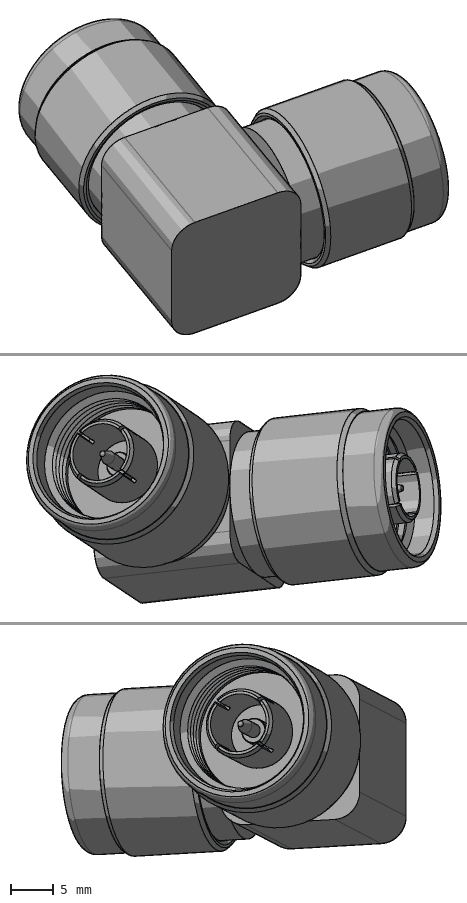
import cadquery as cq
import math

ARM_ANGLES = (0, 90)

nut_dia = 20.0
nut_length = 17.0
overall_length = 38.6
front_collar_dia = 19.1
front_collar_length = 4.98
nose_dia = 18.03
nose_length = 1.0
edge_bevel_height = 0.4
front_bevel_length = 0.58
rear_bevel_length = 0.5

mouth_dia = 16.83
mouth_bevel_length = 0.55
entry_bore_dia = 16.3
thread_start_depth = 2.97
lead_in_length = 0.6
thread_root_dia = 16.0
thread_crest_dia = 14.8
thread_pitch = 1.05
thread_crests = 5
cavity_depth = 8.38
neck_bore_dia = 17.6
neck_bore_mouth_dia = 18.53
neck_bore_bevel_length = 0.3

neck_dia = 17.5
block_size = neck_dia
block_edge_radius = 3.13

sleeve_dia = 8.35
sleeve_tip_dia = 7.7
sleeve_bore_dia = 7.0
sleeve_tip_depth = 0.5
sleeve_bevel_length = 0.45
slot_width = 0.4
slot_length = 4.0
slot_angles = (45, 135)

pin_base_dia = 3.0
pin_shoulder_dia = 2.85
pin_shoulder_bevel = 0.1
pin_shoulder_depth = 6.18
pin_dia = 1.65
pin_tip_dia = 0.7
pin_tip_depth = 1.12
pin_dome_height = 0.2
pin_cone_length = 1.75

mouth_at = overall_length - nut_dia / 2
nut_rear_at = mouth_at - nut_length
neck_end_at = mouth_at - cavity_depth
sleeve_tip_at = mouth_at - sleeve_tip_depth


def revolve_about_arm(profile):
    """Turn a closed (radius, distance) profile about the +Y arm axis."""
    return profile.close().revolve(360, (0, 0, 0), (0, 1, 0))


def turn_to_arm(body, angle):
    return body.rotate((0, 0, 0), (0, 0, 1), angle)


def thread_points():
    """V-shaped ring thread from the lead-in cone to the last crest, front to back."""
    points = []
    first_crest_at = mouth_at - thread_start_depth - lead_in_length
    for turn in range(thread_crests):
        crest_at = first_crest_at - turn * thread_pitch
        if turn > 0:
            points.append((thread_root_dia / 2, crest_at + thread_pitch / 2))
        points.append((thread_crest_dia / 2, crest_at))
    return points


def coupling_nut():
    nut_radius = nut_dia / 2
    collar_radius = front_collar_dia / 2
    collar_rear_at = mouth_at - front_collar_length
    nose_rear_at = mouth_at - nose_length

    nose_drop = (front_collar_dia - nose_dia) / 2
    nose_radius = (nose_length**2 + nose_drop**2) / (2 * nose_drop)
    mid_angle = math.asin(nose_length / nose_radius) / 2
    nose_mid = (
        collar_radius - nose_radius * (1 - math.cos(mid_angle)),
        nose_rear_at + nose_radius * math.sin(mid_angle),
    )

    profile = (
        cq.Workplane("XY")
        .moveTo(neck_bore_dia / 2, nut_rear_at + neck_bore_bevel_length)
        .lineTo(neck_bore_mouth_dia / 2, nut_rear_at)
        .lineTo(nut_radius - edge_bevel_height, nut_rear_at)
        .lineTo(nut_radius, nut_rear_at + rear_bevel_length)
        .lineTo(nut_radius, collar_rear_at - front_bevel_length)
        .lineTo(nut_radius - edge_bevel_height, collar_rear_at)
        .lineTo(collar_radius, collar_rear_at)
        .lineTo(collar_radius, nose_rear_at)
        .threePointArc(nose_mid, (nose_dia / 2, mouth_at))
        .lineTo(mouth_dia / 2, mouth_at)
        .lineTo(entry_bore_dia / 2, mouth_at - mouth_bevel_length)
        .lineTo(entry_bore_dia / 2, mouth_at - thread_start_depth)
    )
    for point in thread_points():
        profile = profile.lineTo(*point)
    profile = profile.lineTo(thread_crest_dia / 2, neck_end_at).lineTo(neck_bore_dia / 2, neck_end_at)
    return revolve_about_arm(profile)


def block():
    return cq.Workplane("XY").box(block_size, block_size, block_size).edges("|X").fillet(block_edge_radius)


def neck():
    return revolve_about_arm(
        cq.Workplane("XY")
        .moveTo(0, block_size / 2)
        .lineTo(neck_dia / 2, block_size / 2)
        .lineTo(neck_dia / 2, neck_end_at)
        .lineTo(0, neck_end_at)
    )


def slotted_sleeve():
    sleeve = revolve_about_arm(
        cq.Workplane("XY")
        .moveTo(sleeve_bore_dia / 2, neck_end_at)
        .lineTo(sleeve_dia / 2, neck_end_at)
        .lineTo(sleeve_dia / 2, sleeve_tip_at - sleeve_bevel_length)
        .lineTo(sleeve_tip_dia / 2, sleeve_tip_at)
        .lineTo(sleeve_bore_dia / 2, sleeve_tip_at)
    )
    slot = (
        cq.Workplane("XY")
        .box(sleeve_dia, slot_length, slot_width)
        .translate((0, sleeve_tip_at - slot_length / 2, 0))
    )
    for angle in slot_angles:
        sleeve = sleeve.cut(slot.rotate((0, 0, 0), (0, 1, 0), angle))
    return sleeve


def centre_pin():
    shoulder_at = mouth_at - pin_shoulder_depth
    tip_at = mouth_at - pin_tip_depth
    cone_front_at = tip_at - pin_dome_height
    tip_radius = pin_tip_dia / 2
    dome_radius = (tip_radius**2 + pin_dome_height**2) / (2 * pin_dome_height)
    return revolve_about_arm(
        cq.Workplane("XY")
        .moveTo(0, neck_end_at)
        .lineTo(pin_base_dia / 2, neck_end_at)
        .lineTo(pin_base_dia / 2, shoulder_at - pin_shoulder_bevel)
        .lineTo(pin_shoulder_dia / 2, shoulder_at)
        .lineTo(pin_dia / 2, shoulder_at)
        .lineTo(pin_dia / 2, cone_front_at - pin_cone_length)
        .lineTo(tip_radius, cone_front_at)
        .radiusArc((0, tip_at), -dome_radius)
    )


def elbow():
    body = block()
    for angle in ARM_ANGLES:
        for arm_part in (neck(), slotted_sleeve(), centre_pin()):
            body = body.union(turn_to_arm(arm_part, angle))
    return body


elbow_body = elbow()
nuts = [turn_to_arm(coupling_nut(), angle) for angle in ARM_ANGLES]

result = cq.Compound.makeCompound([*elbow_body.solids().vals(), *(nut.val() for nut in nuts)])